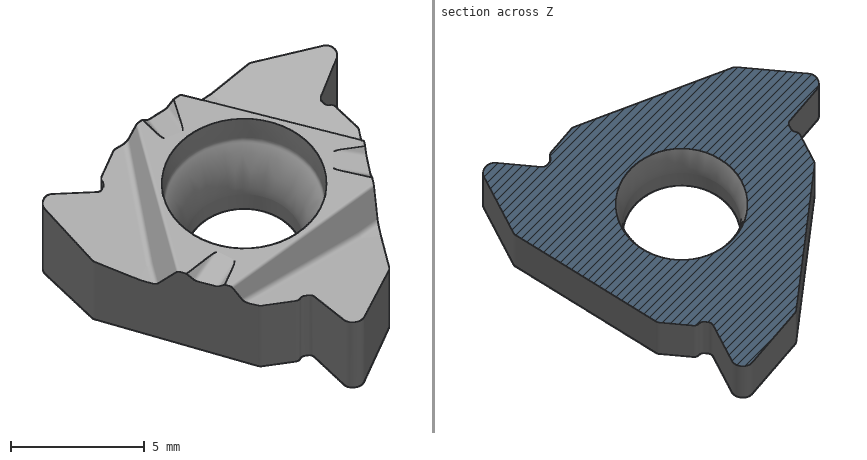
import cadquery as cq
import math


overall_length = 13.15
thickness = 4.35
tooth_count = 3
clearance = 1.32

inscribed_radius = 4.76
tip_height = 6.89
tip_radius = 0.42
tip_flat = 0.05
flank_angle = 60.0
land_height = 5.3
groove_bottom = 5.09
groove_flat = 0.13
groove_radius = 0.24
side_corner_radius = 0.26

rake_angle = 10.0
tip_thickness = 3.96
floor_level = 3.17

wall_direction = 32.2
wall_edge_x = -4.76
wall_edge_y = 0.91
wall_lean = 31.7
wall_foot_radius = 0.28
wall_top_radius = 0.16

notch_end_x = -3.46
notch_end_y = -0.54
notch_direction = 13.0
notch_slope = 11.0
notch_floor_width = 0.87
notch_wall_angle = 50.0
notch_floor_radius = 0.28

bore_radius = 4.4 / 2
mouth_radius = 3.08
mouth_foot_radius = 3.01
mouth_depth = 1.07
seat_radius = 3.63
seat_start_angle = 37.0
blend_radius = 0.35


def around_teeth(shape):
    """Return the shape turned to each tooth."""
    return [shape.rotate((0, 0, 0), (0, 0, 1), i * 360 / tooth_count) for i in range(tooth_count)]


def turn(point, angle):
    """Turn an XY point about the hole axis."""
    c = math.cos(math.radians(angle))
    s = math.sin(math.radians(angle))
    return (point[0] * c - point[1] * s, point[0] * s + point[1] * c)


def polar(center, radius, angle):
    """Return the point on a circle at an angle from +X."""
    a = math.radians(angle)
    return (center[0] + radius * math.cos(a), center[1] + radius * math.sin(a))


def outline_body():
    flank_cos = math.cos(math.radians(flank_angle))
    flank_sin = math.sin(math.radians(flank_angle))
    flank_tan = flank_sin / flank_cos

    tip_center_y = tip_height - tip_radius
    flank_distance = overall_length - tip_height
    left_center_x = -(flank_distance - tip_radius - tip_center_y * flank_cos) / flank_sin
    right_center_x = left_center_x + tip_flat
    tip_axis_x = left_center_x + tip_flat / 2
    apex_y = tip_center_y + tip_radius / flank_cos + tip_flat / 2 * flank_tan
    shoulder = (-inscribed_radius, apex_y - (tip_axis_x + inscribed_radius) * flank_tan)

    groove_y = groove_bottom + groove_radius
    first_x = tip_axis_x + (apex_y - groove_y) / flank_tan + groove_radius / flank_sin
    second_x = first_x + groove_flat
    rise = groove_y - (land_height - groove_radius)
    land_start_x = second_x + math.sqrt((2 * groove_radius)**2 - rise**2)
    reversal = ((second_x + land_start_x) / 2, groove_y - rise / 2)
    reversal_angle = math.degrees(math.atan2(-rise, land_start_x - second_x))

    side_turn = 360 / tooth_count
    side_x = math.cos(math.radians(180 - side_turn))
    side_y = math.sin(math.radians(180 - side_turn))
    land_end = ((inscribed_radius - land_height * side_y) / side_x, land_height)

    def on_tip(center_x, angle):
        return polar((center_x, tip_center_y), tip_radius, angle)

    def on_groove(center_x, angle):
        return polar((center_x, groove_y), groove_radius, angle)

    land_edge_center = (land_start_x, land_height - groove_radius)
    land_edge_mid = polar(land_edge_center, groove_radius, (90 + 180 + reversal_angle) / 2)
    flank_normal = 90 - flank_angle

    outline = cq.Workplane("XY").moveTo(*shoulder)
    for i in range(tooth_count):
        angle = -i * side_turn

        def at(point):
            return turn(point, angle)

        if i > 0:
            outline = outline.lineTo(*at(shoulder))
        outline = (
            outline
            .lineTo(*at(on_tip(left_center_x, 180 - flank_normal)))
            .threePointArc(at(on_tip(left_center_x, 90 + flank_angle / 2)), at((left_center_x, tip_height)))
            .lineTo(*at((right_center_x, tip_height)))
            .threePointArc(
                at(on_tip(right_center_x, 90 - flank_angle / 2)),
                at(on_tip(right_center_x, flank_normal)),
            )
            .lineTo(*at(on_groove(first_x, 180 + flank_normal)))
            .threePointArc(at(on_groove(first_x, 270 - flank_angle / 2)), at((first_x, groove_bottom)))
            .lineTo(*at((second_x, groove_bottom)))
            .threePointArc(at(on_groove(second_x, (reversal_angle - 90) / 2)), at(reversal))
            .threePointArc(at(land_edge_mid), at((land_start_x, land_height)))
            .lineTo(*at(land_end))
        )
    body = outline.close().extrude(thickness)

    for corner in (shoulder, land_end):
        for i in range(tooth_count):
            corner_x, corner_y = turn(corner, -i * side_turn)
            corner_edge = cq.NearestToPointSelector((corner_x, corner_y, thickness / 2))
            body = body.edges(corner_edge).fillet(side_corner_radius)
    return body


def rake_cutter():
    """Space above one rake face, bounded by the leaning wall."""
    reach = overall_length
    rake_tan = math.tan(math.radians(rake_angle))
    flat_end = tip_height - (tip_thickness - floor_level) / rake_tan
    outer_y = tip_height + clearance
    above_floor = (
        cq.Workplane("YZ")
        .moveTo(-reach, floor_level)
        .lineTo(flat_end, floor_level)
        .lineTo(outer_y, tip_thickness + clearance * rake_tan)
        .lineTo(outer_y, thickness + clearance)
        .lineTo(-reach, thickness + clearance)
        .close()
        .extrude(reach, both=True)
    )
    wall_tan = math.tan(math.radians(wall_lean))
    outside_wall = (
        cq.Workplane("YZ")
        .moveTo(thickness * wall_tan, -thickness)
        .lineTo(reach, -thickness)
        .lineTo(reach, clearance)
        .lineTo(-clearance * wall_tan, clearance)
        .close()
        .extrude(reach, both=True)
        .rotate((0, 0, 0), (0, 0, 1), wall_direction)
        .translate((wall_edge_x, wall_edge_y, thickness))
    )
    cutter = above_floor.intersect(outside_wall)
    turned = math.radians(wall_direction)
    toward_hole = cq.Vector(math.sin(turned), -math.cos(turned), 0)
    wall = cutter.faces(cq.DirectionMinMaxSelector(toward_hole, True))
    foot = wall.edges().filter(lambda edge: edge.Center().z < thickness)
    return cutter.newObject(foot.vals()).fillet(wall_foot_radius)


def notch_cutter():
    """Sloping trapezoid channel that starts at the top face and deepens toward the side."""
    flare = clearance * math.tan(math.radians(notch_wall_angle))
    half_floor = notch_floor_width / 2
    length = 2 * clearance
    return (
        cq.Workplane("YZ")
        .moveTo(-half_floor, 0)
        .lineTo(half_floor, 0)
        .lineTo(half_floor + flare, clearance)
        .lineTo(-half_floor - flare, clearance)
        .close()
        .extrude(-length)
        .edges("|X and <Z")
        .fillet(notch_floor_radius)
        .rotate((0, 0, 0), (0, 1, 0), -notch_slope)
        .rotate((0, 0, 0), (0, 0, 1), -notch_direction)
        .translate((notch_end_x, notch_end_y, thickness))
    )


def screw_hole():
    lean = math.radians(seat_start_angle)
    half_lean = lean / 2
    blend_x = mouth_foot_radius - blend_radius
    blend_z = thickness - mouth_depth
    blend_mid = (blend_x + blend_radius * math.cos(half_lean), blend_z - blend_radius * math.sin(half_lean))
    seat_x = bore_radius + seat_radius
    seat_start_x = seat_x - seat_radius * math.cos(lean)
    seat_start_z = blend_z - blend_radius * math.sin(lean)
    seat_z = seat_start_z - seat_radius * math.sin(lean)
    seat_mid = (seat_x - seat_radius * math.cos(half_lean), seat_z + seat_radius * math.sin(half_lean))
    return (
        cq.Workplane("XZ")
        .moveTo(0, 0)
        .lineTo(bore_radius, 0)
        .lineTo(bore_radius, seat_z)
        .threePointArc(seat_mid, (seat_start_x, seat_start_z))
        .threePointArc(blend_mid, (mouth_foot_radius, blend_z))
        .lineTo(mouth_radius, thickness)
        .lineTo(0, thickness)
        .close()
        .revolve(360, (0, 0, 0), (0, 1, 0))
    )


result = outline_body()
for tool in around_teeth(rake_cutter()):
    result = result.cut(tool)

wall_edges = result.faces(">Z").edges().filter(lambda edge: edge.Length() > 2 * mouth_radius)
result = result.newObject(wall_edges.vals()).fillet(wall_top_radius)

for tool in around_teeth(notch_cutter()):
    result = result.cut(tool)
result = result.cut(screw_hole())